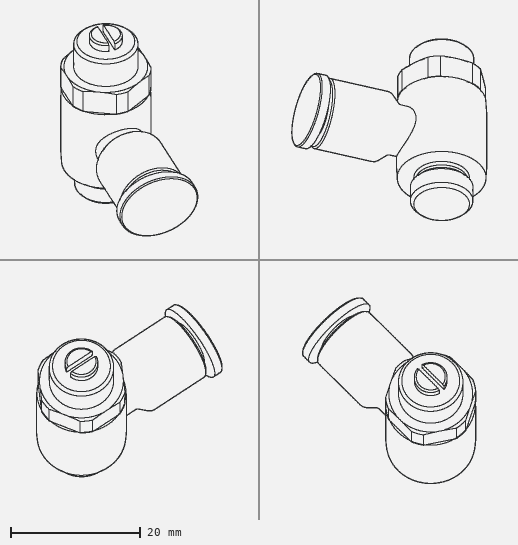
import cadquery as cq

SPIGOT_CHAMFER_Z = 0.6
SPIGOT_TOP_Z = 3.25
GROOVE_LOW_Z = 4.05
GROOVE_HIGH_Z = 4.53
BODY_BOTTOM_Z = 5.05
BODY_TOP_Z = 19.5
HEX_TOP_Z = 23.58
CAP_TOP_Z = 28.53
SCREW_TOP_Z = 30.0

BODY_RADIUS = 14.0 / 2
BODY_END_RADIUS = 6.9
BODY_TAPER_LENGTH = 2.0
SPIGOT_RADIUS = 4.85
SPIGOT_END_RADIUS = 4.32
GROOVE_RADIUS = 4.08
GROOVE_FLARE_RADIUS = 4.32
CAP_RADIUS = 10.0 / 2
CAP_CHAMFER = 0.5
HEX_ACROSS_FLATS = 13.0
HEX_CHAMFER_HEIGHT = 0.18
HEX_TURN = 30
SCREW_RADIUS = 2.55
SCREW_CHAMFER = 0.3
SCREW_SLOT_WIDTH = 1.0

PORT_AXIS_Z = (BODY_BOTTOM_Z + BODY_TOP_Z) / 2
PORT_NECK_RADIUS = 4.0
PORT_RADIUS = 11.2 / 2
CONE_START_X = 8.1
CONE_END_X = 9.9
CONE_FILLET = 1.0
RIM_MARGIN = 0.3
PORT_END_X = 20.07
PORT_CHAMFER = 0.27

COLLAR_STEM_RADIUS = 3.75
COLLAR_START_X = 20.88
COLLAR_END_X = 29.45 - BODY_RADIUS
COLLAR_HALF_WIDTH = 13.0 / 2
COLLAR_HALF_HEIGHT = 5.52
COLLAR_CHAMFER = 0.2


def revolve_about_z(profile):
    """Solid of revolution from (radius, z) points closed along the Z axis."""
    points = [(0, profile[0][1])] + profile + [(0, profile[-1][1])]
    return cq.Workplane("XZ").polyline(points).close().revolve(360, (0, 0), (0, 1))


def make_body():
    """Threaded spigot, sealing groove and main barrel with slightly tapered ends."""
    return revolve_about_z([
        (SPIGOT_END_RADIUS, 0),
        (SPIGOT_RADIUS, SPIGOT_CHAMFER_Z),
        (SPIGOT_RADIUS, SPIGOT_TOP_Z),
        (GROOVE_RADIUS, GROOVE_LOW_Z),
        (GROOVE_RADIUS, GROOVE_HIGH_Z),
        (GROOVE_FLARE_RADIUS, BODY_BOTTOM_Z),
        (BODY_END_RADIUS, BODY_BOTTOM_Z),
        (BODY_RADIUS, BODY_BOTTOM_Z + BODY_TAPER_LENGTH),
        (BODY_RADIUS, BODY_TOP_Z - BODY_TAPER_LENGTH),
        (BODY_END_RADIUS, BODY_TOP_Z),
    ])


def make_hex():
    """Hexagon with flats on +Y and -Y, its corners turned round and chamfered on top."""
    prism = (
        cq.Workplane("XY", origin=(0, 0, BODY_TOP_Z))
        .polygon(6, HEX_ACROSS_FLATS, circumscribed=True)
        .extrude(HEX_TOP_Z - BODY_TOP_Z)
        .rotate((0, 0, 0), (0, 0, 1), HEX_TURN)
    )
    turned_blank = revolve_about_z([
        (BODY_RADIUS, BODY_TOP_Z),
        (BODY_RADIUS, HEX_TOP_Z - HEX_CHAMFER_HEIGHT),
        (HEX_ACROSS_FLATS / 2, HEX_TOP_Z),
    ])
    return prism.intersect(turned_blank)


def make_cap():
    """Round cap on top of the hexagon."""
    return (
        cq.Workplane("XY", origin=(0, 0, HEX_TOP_Z))
        .circle(CAP_RADIUS)
        .extrude(CAP_TOP_Z - HEX_TOP_Z)
        .faces(">Z")
        .chamfer(CAP_CHAMFER)
    )


def make_screw():
    """Adjusting screw head, slotted along X down to the cap."""
    height = SCREW_TOP_Z - CAP_TOP_Z
    base = cq.Workplane("XY", origin=(0, 0, CAP_TOP_Z))
    head = base.circle(SCREW_RADIUS).extrude(height).faces(">Z").chamfer(SCREW_CHAMFER)
    slot = base.rect(2 * SCREW_RADIUS, SCREW_SLOT_WIDTH).extrude(height)
    return head.cut(slot)


def make_port():
    """Side port: neck from the main axis, blended cone and chamfered barrel."""
    port = (
        cq.Workplane("XZ", origin=(0, 0, PORT_AXIS_Z))
        .polyline([
            (0, 0),
            (0, PORT_NECK_RADIUS),
            (CONE_START_X, PORT_NECK_RADIUS),
            (CONE_END_X, PORT_RADIUS),
            (PORT_END_X, PORT_RADIUS),
            (PORT_END_X, 0),
        ])
        .close()
        .revolve(360, (0, 0), (1, 0))
    )
    cone_zone = cq.selectors.BoxSelector(
        (CONE_START_X - RIM_MARGIN, -PORT_RADIUS, PORT_AXIS_Z - PORT_RADIUS),
        (CONE_END_X + RIM_MARGIN, PORT_RADIUS, PORT_AXIS_Z + PORT_RADIUS),
    )
    cone_rims = port.edges("%CIRCLE").edges(cone_zone)
    return cone_rims.fillet(CONE_FILLET).faces(">X").chamfer(PORT_CHAMFER)


def make_collar():
    """Release collar: round stem and oval flange, wider along Y than along Z."""
    stem = (
        cq.Workplane("YZ", origin=(PORT_END_X, 0, PORT_AXIS_Z))
        .circle(COLLAR_STEM_RADIUS)
        .extrude(COLLAR_START_X - PORT_END_X)
    )
    flange = (
        cq.Workplane("YZ", origin=(COLLAR_START_X, 0, PORT_AXIS_Z))
        .ellipse(COLLAR_HALF_WIDTH, COLLAR_HALF_HEIGHT)
        .extrude(COLLAR_END_X - COLLAR_START_X)
        .faces(">X")
        .chamfer(COLLAR_CHAMFER)
    )
    return stem.union(flange)


result = (
    make_body()
    .union(make_hex())
    .union(make_cap())
    .union(make_screw())
    .union(make_port())
    .union(make_collar())
)